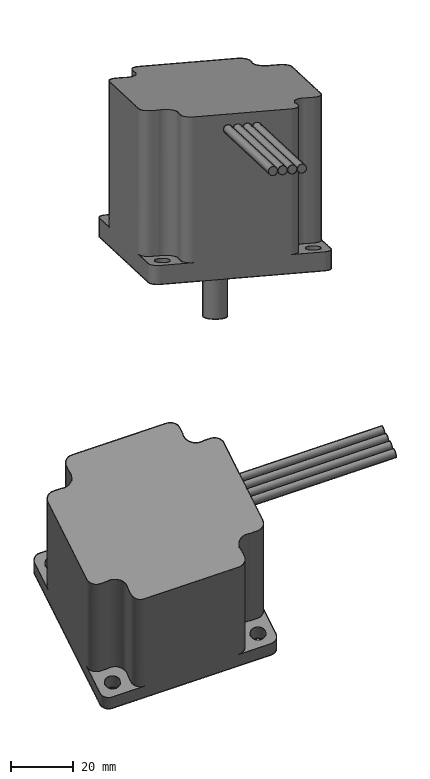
import cadquery as cq
import math

body_width = 60.5
body_height = 54.5
total_height = 75.5

flange_thickness = 6.3
flange_corner_radius = 3.0
hole_pitch = 50.0
hole_diameter = 5.0

recess_wall_offset = 19.5
arm_corner_radius = 3.3
root_center_offset = 23.5
root_end_offset = 24.5
root_center_pitch = 2 * root_center_offset
root_radius = math.hypot(
    root_end_offset - root_center_offset,
    root_center_offset - recess_wall_offset,
)

pilot_diameter = 36.0
pilot_height = 1.5
shaft_diameter = 8.0
shaft_length = total_height - body_height - pilot_height
flat_length = 15.0
flat_offset = 3.5

wire_count = 4
wire_diameter = 3.0
wire_pitch = 3.2
wire_length = 50.0
wire_depth_below_top = 5.0
wire_embed = 1.0

half_width = body_width / 2
shaft_end_z = -(pilot_height + shaft_length)


def make_flange():
    """Rounded square plate with its mounting face on Z = 0."""
    plate = cq.Workplane("XY").rect(body_width, body_width).extrude(flange_thickness)
    plate = plate.edges("|Z").fillet(flange_corner_radius)
    holes = (
        cq.Workplane("XY")
        .rect(hole_pitch, hole_pitch, forConstruction=True)
        .vertices()
        .circle(hole_diameter / 2)
        .extrude(flange_thickness)
    )
    return plate.cut(holes)


def make_housing():
    """Cross-shaped column above the flange, with an arc-shaped root in each corner recess."""
    height = body_height - flange_thickness
    arm_width = 2 * recess_wall_offset
    base = cq.Workplane("XY").workplane(offset=flange_thickness)
    arm_along_x = base.rect(body_width, arm_width).extrude(height)
    arm_along_y = base.rect(arm_width, body_width).extrude(height)
    arm_along_x = arm_along_x.edges("|Z").fillet(arm_corner_radius)
    arm_along_y = arm_along_y.edges("|Z").fillet(arm_corner_radius)

    core = base.rect(root_center_pitch, root_center_pitch).extrude(height)
    roots = (
        base.rect(root_center_pitch, root_center_pitch, forConstruction=True)
        .vertices()
        .circle(root_radius)
        .extrude(height)
    )
    return arm_along_x.union(arm_along_y).union(core).cut(roots)


def make_shaft():
    """Pilot boss and shaft below the flange; the shaft has a flat facing +Y."""
    pilot = cq.Workplane("XY").circle(pilot_diameter / 2).extrude(-pilot_height)
    shaft = cq.Workplane("XY").circle(shaft_diameter / 2).extrude(shaft_end_z)
    flat_cutter = (
        cq.Workplane("XY")
        .workplane(offset=shaft_end_z)
        .center(0, flat_offset + shaft_diameter / 2)
        .rect(shaft_diameter, shaft_diameter)
        .extrude(flat_length)
    )
    return pilot.union(shaft.cut(flat_cutter))


def make_wires():
    """Row of parallel lead wires leaving the +X side near the top."""
    first_y = -wire_pitch * (wire_count - 1) / 2
    wire_z = body_height - wire_depth_below_top
    centers = [(first_y + i * wire_pitch, wire_z) for i in range(wire_count)]
    return (
        cq.Workplane("YZ")
        .workplane(offset=half_width - wire_embed)
        .pushPoints(centers)
        .circle(wire_diameter / 2)
        .extrude(wire_length + wire_embed)
    )


result = make_flange().union(make_housing()).union(make_shaft()).union(make_wires())